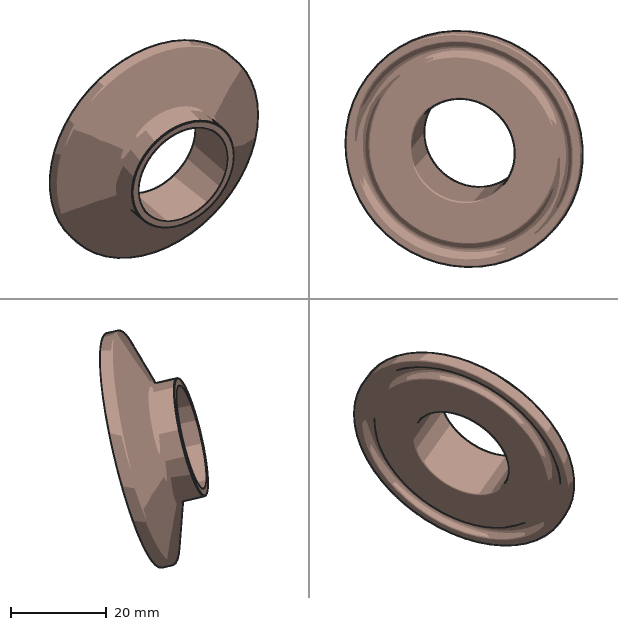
import cadquery as cq
import math

length = 12.7
rim_diameter = 50.4
tube_diameter = 25.4
bore_diameter = 22.1
rim_radius = rim_diameter / 2
tube_radius = tube_diameter / 2
bore_radius = bore_diameter / 2

edge_round = 0.4
rim_round_start = 2.55
cone_angle = 20.0
neck_round = 1.1
tube_end_chamfer = 0.15

groove_radius = 21.75
groove_half_width = 1.85
groove_lip_round = 0.5
groove_floor_round = 1.2
groove_flank_angle = 63.0


def on_circle(center, radius, degrees):
    """Point (X, radial) on a circle, with the angle counted from +X towards outward."""
    angle = math.radians(degrees)
    return (center[0] + radius * math.cos(angle), center[1] + radius * math.sin(angle))


def add_arc(profile, center, radius, start, end):
    """Run straight to the arc's start, then along the arc to its end."""
    middle = on_circle(center, radius, (start + end) / 2)
    return (
        profile.lineTo(*on_circle(center, radius, start))
        .threePointArc(middle, on_circle(center, radius, end))
    )


def make_body():
    rim_front = (edge_round, rim_radius - edge_round)
    rim_back = (rim_round_start, rim_radius - edge_round)
    bore_mouth = (edge_round, bore_radius + edge_round)

    cone = math.radians(cone_angle)
    neck_center_radius = tube_radius + neck_round
    center_drop = rim_back[1] - neck_center_radius
    neck_center_x = (
        rim_back[0]
        + center_drop * math.tan(cone)
        + (edge_round + neck_round) / math.cos(cone)
    )
    neck = (neck_center_x, neck_center_radius)

    profile = cq.Workplane("XY").moveTo(0, bore_mouth[1])
    profile = add_arc(profile, rim_front, edge_round, 180, 90)
    profile = add_arc(profile, rim_back, edge_round, 90, cone_angle)
    profile = add_arc(profile, neck, neck_round, 180 + cone_angle, 270)
    profile = (
        profile.lineTo(length - tube_end_chamfer, tube_radius)
        .lineTo(length, tube_radius - tube_end_chamfer)
        .lineTo(length, bore_radius)
    )
    profile = add_arc(profile, bore_mouth, edge_round, 270, 180)
    return profile.close().revolve(360, (0, 0, 0), (1, 0, 0))


def make_groove():
    flank = math.radians(groove_flank_angle)
    rounds = groove_lip_round + groove_floor_round
    flank_width = groove_half_width - rounds * math.sin(flank)
    depth = rounds * (1 - math.cos(flank)) + flank_width * math.tan(flank)
    inner_lip = (groove_lip_round, groove_radius - groove_half_width)
    outer_lip = (groove_lip_round, groove_radius + groove_half_width)
    floor = (depth - groove_floor_round, groove_radius)

    profile = cq.Workplane("XY").moveTo(0, groove_radius)
    profile = add_arc(profile, inner_lip, groove_lip_round, 180, 180 - groove_flank_angle)
    profile = add_arc(profile, floor, groove_floor_round, -groove_flank_angle, groove_flank_angle)
    profile = add_arc(profile, outer_lip, groove_lip_round, 180 + groove_flank_angle, 180)
    return profile.close().revolve(360, (0, 0, 0), (1, 0, 0))


result = make_body().cut(make_groove())